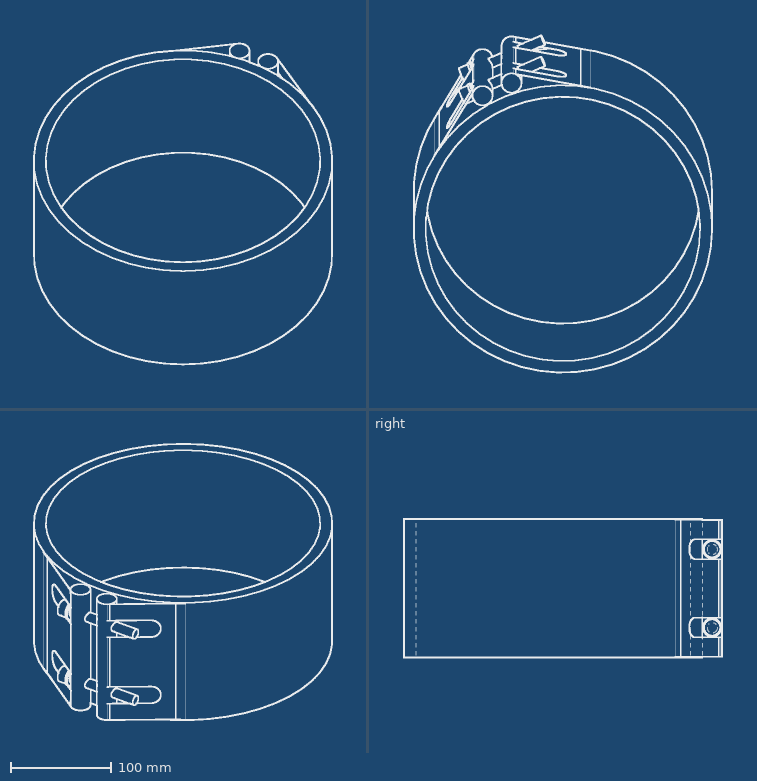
import cadquery as cq
import math

outer_radius = 148.5
inner_radius = 136.5
height = 138.0
overall_depth = 316.8

pin_radius = 9.98
pin_offset = 15.8
pin_y = overall_depth - outer_radius - pin_radius
strap_thickness = 0.3
strap_width = 136.2
slot_width = 19.5
slot_end_y = 135.5

bolt_spacing = 78.0
shank_diameter = 10.0
shank_end_x = -50.5
washer_diameter = 18.0
washer_start_x = pin_offset + pin_radius
washer_end_x = 28.2
head_diameter = 16.0
head_end_x = 38.0

pin_distance = math.hypot(pin_offset, pin_y)
tangent_angle = math.atan2(pin_offset, pin_y) + math.acos(
    (outer_radius - pin_radius) / pin_distance
)
normal = cq.Vector(-math.sin(tangent_angle), math.cos(tangent_angle), 0)
along = cq.Vector(math.cos(tangent_angle), math.sin(tangent_angle), 0)
sleeve_tangent = normal * outer_radius
pin_center = cq.Vector(-pin_offset, pin_y, 0)
pin_tangent = pin_center + normal * pin_radius


def upright_cylinder(radius, length, x=0, y=0):
    return cq.Workplane("XY", origin=(x, y, -length / 2)).circle(radius).extrude(length)


def bolt_section(diameter, start_x, end_x, z):
    return (
        cq.Workplane("YZ", origin=(start_x, pin_y, z))
        .circle(diameter / 2)
        .extrude(end_x - start_x)
    )


def make_strap():
    """Left strap: a flat tangent sheet slotted around each bolt."""
    depth = normal * strap_thickness
    corners = [sleeve_tangent, pin_tangent, pin_tangent - depth, sleeve_tangent - depth]
    sheet = (
        cq.Workplane("XY", origin=(0, 0, -strap_width / 2))
        .polyline([(corner.x, corner.y) for corner in corners])
        .close()
        .extrude(strap_width)
    )
    slot_length = (pin_tangent.y - slot_end_y) / along.y
    straight_length = slot_length - slot_width / 2
    cut_depth = 2 * strap_thickness
    face = cq.Plane(origin=pin_tangent.toTuple(), xDir=(-along).toTuple(), normal=normal.toTuple())
    slots = (
        cq.Workplane(face)
        .pushPoints([(0, -bolt_spacing / 2), (0, bolt_spacing / 2)])
        .slot2D(2 * straight_length + slot_width, slot_width)
        .extrude(cut_depth, both=True)
    )
    return sheet.cut(slots)


def make_bolt(z):
    shank = bolt_section(shank_diameter, shank_end_x, washer_end_x, z)
    washer = bolt_section(washer_diameter, washer_start_x, washer_end_x, z)
    head = bolt_section(head_diameter, washer_end_x, head_end_x, z)
    return shank.union(washer).union(head)


sleeve = upright_cylinder(outer_radius, height)
left_side = make_strap().union(upright_cylinder(pin_radius, strap_width, -pin_offset, pin_y))
result = sleeve.union(left_side).union(left_side.mirror("YZ"))
for bolt_z in (-bolt_spacing / 2, bolt_spacing / 2):
    result = result.union(make_bolt(bolt_z))
result = result.cut(upright_cylinder(inner_radius, height))